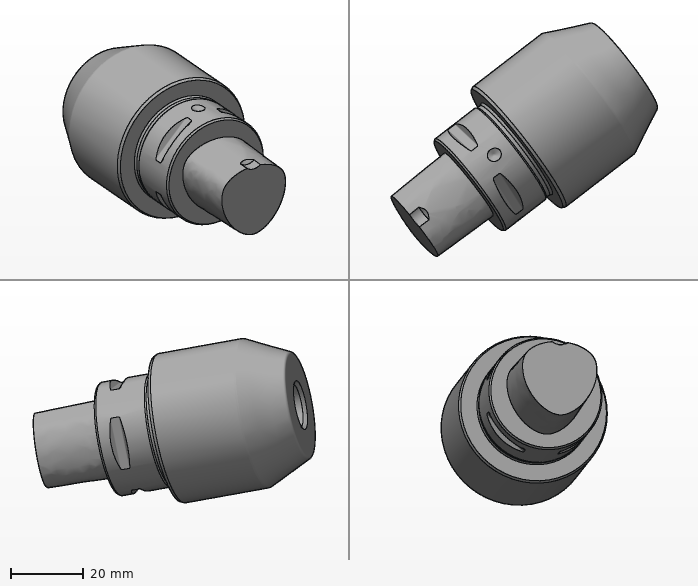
import cadquery as cq
import math

total_length = 74.0
overlap = 0.75

nose_radius = 14.95
nose_fillet = 0.9
cone_end_x = 12.5
cone_end_radius = 20.9
body_start_x = 13.0
body_radius = 21.0
body_end_x = 37.95
rear_chamfer_length = 0.9
rear_chamfer_depth = 0.45

flange_radius = 16.0
flange_end_x = 54.9
flange_chamfer_length = 0.6
flange_chamfer_depth = 0.45
groove_radius = 15.7
groove_floor_start_x = 38.8
groove_floor_end_x = 39.9
groove_end_x = 40.3

shank_mean_diameter = 22.0
lobe_eccentricity = 0.7
shank_taper = 1 / 20
shank_length = total_length - flange_end_x

bore_diameter = 12.0
bore_depth = 44.4
mouth_diameter = 13.7
mouth_step_diameter = 12.5
mouth_step_depth = 0.6
mouth_depth = 1.0
bore_floor_chamfer = 0.45

slot_count = 4
slot_first_angle = 45.0
slot_x = 49.0
slot_floor_distance = 14.2
slot_floor_half_width = 1.22
slot_wall_angle = 30.0
slot_corner_radius = 0.41

dimple_x = 45.9
dimple_diameter = 4.0
dimple_cone_angle = 120.0

notch_width = 4.7
notch_depth = 0.9
notch_length = 3.3


def make_body():
    """Chuck body and flange, revolved about X."""
    profile = [
        (0, 0),
        (0, nose_radius),
        (cone_end_x, cone_end_radius),
        (body_start_x, body_radius),
        (body_end_x - rear_chamfer_length, body_radius),
        (body_end_x, body_radius - rear_chamfer_depth),
        (body_end_x, flange_radius),
        (groove_floor_start_x, groove_radius),
        (groove_floor_end_x, groove_radius),
        (groove_end_x, flange_radius),
        (flange_end_x - flange_chamfer_length, flange_radius),
        (flange_end_x, flange_radius - flange_chamfer_depth),
        (flange_end_x, 0),
    ]
    body = cq.Workplane("XY").polyline(profile).close().revolve(360, (0, 0), (1, 0))
    return body.faces("<X").edges().fillet(nose_fillet)


def lobed_section(x):
    """Closed three-lobed wire at x, with one lobe pointing to -Z."""
    mean_radius = (shank_mean_diameter - shank_taper * (x - flange_end_x)) / 2
    e = lobe_eccentricity
    point_count = 48
    points = []
    for i in range(point_count):
        t = 2 * math.pi * i / point_count
        z = mean_radius * math.cos(t) - 2 * e * math.cos(2 * t) + e * math.cos(4 * t)
        y = mean_radius * math.sin(t) + 2 * e * math.sin(2 * t) + e * math.sin(4 * t)
        points.append(cq.Vector(x, y, z))
    return cq.Wire.assembleEdges([cq.Edge.makeSpline(points, periodic=True)])


def make_shank():
    """Tapered shank, started slightly inside the flange."""
    sections = [lobed_section(flange_end_x - overlap), lobed_section(total_length)]
    return cq.Workplane(obj=cq.Solid.makeLoft(sections, True))


def make_bore():
    """Blind bore with a two-step conical mouth and a chamfered floor."""
    bore_radius = bore_diameter / 2
    profile = [
        (0, 0),
        (0, mouth_diameter / 2),
        (mouth_step_depth, mouth_step_diameter / 2),
        (mouth_depth, bore_radius),
        (bore_depth - bore_floor_chamfer, bore_radius),
        (bore_depth, bore_radius - bore_floor_chamfer),
        (bore_depth, 0),
    ]
    return cq.Workplane("XY").polyline(profile).close().revolve(360, (0, 0), (1, 0))


def make_slot(angle):
    """Trapezoidal groove cutter, straight across the flange, turned about X."""
    wall_height = flange_radius - slot_floor_distance + overlap
    top_half_width = slot_floor_half_width + wall_height * math.tan(math.radians(slot_wall_angle))
    top = slot_floor_distance + wall_height
    profile = [
        (slot_x - slot_floor_half_width, slot_floor_distance),
        (slot_x + slot_floor_half_width, slot_floor_distance),
        (slot_x + top_half_width, top),
        (slot_x - top_half_width, top),
    ]
    cutter = cq.Workplane("XZ").polyline(profile).close().extrude(flange_radius, both=True)
    cutter = cutter.faces("<Z").edges("|Y").fillet(slot_corner_radius)
    return cutter.rotate((0, 0, 0), (1, 0, 0), angle)


def make_dimple():
    """Conical dimple sunk from the top of the flange."""
    radius = dimple_diameter / 2
    depth = radius / math.tan(math.radians(dimple_cone_angle / 2))
    base = cq.Vector(dimple_x, 0, flange_radius)
    cone = cq.Solid.makeCone(radius, 0, depth, base, cq.Vector(0, 0, -1))
    rim = cq.Solid.makeCylinder(radius, overlap, base)
    return cq.Workplane(obj=cone).union(cq.Workplane(obj=rim))


def make_notch():
    """Round-bottomed key notch along X with a 45 degree conical inner end."""
    half_width = notch_width / 2
    radius = (half_width**2 + notch_depth**2) / (2 * notch_depth)
    shank_end_top = (shank_mean_diameter - shank_taper * shank_length) / 2 - lobe_eccentricity
    axis_z = shank_end_top - notch_depth + radius
    start = cq.Vector(total_length - notch_length, 0, axis_z)
    cylinder = cq.Solid.makeCylinder(radius, notch_length + overlap, start, cq.Vector(1, 0, 0))
    cone = cq.Solid.makeCone(radius, 0, radius, start, cq.Vector(-1, 0, 0))
    return cq.Workplane(obj=cylinder).union(cq.Workplane(obj=cone))


result = make_body().union(make_shank()).cut(make_bore())
for i in range(slot_count):
    result = result.cut(make_slot(slot_first_angle + i * 360 / slot_count))
result = result.cut(make_dimple()).cut(make_notch())